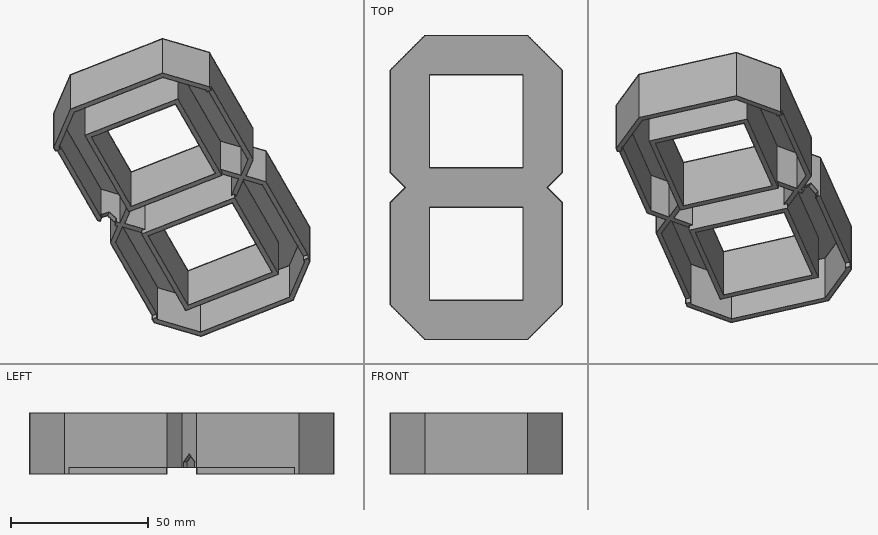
import cadquery as cq
import math


WIDTH = 62.5
LENGTH = 110.5
HEIGHT = 22.2
STROKE = 14.4
CHAMFER = 12.7
WALL = 1.8
DIVIDER_ANGLE = 45
RELIEF_HEIGHT = 2.3
PASSAGE_WIDTH = 5.6
PASSAGE_SIDE_TOP = 4.4

WINDOW_WIDTH = WIDTH - 2 * STROKE
WINDOW_LENGTH = (LENGTH - 3 * STROKE) / 2
WINDOW_CENTRES = [(0, side * (WINDOW_LENGTH + STROKE) / 2) for side in (-1, 1)]
NOTCH = STROKE / 2 - WALL
RELIEF_LENGTH = LENGTH - 2 * STROKE
CAVITY_HEIGHT = HEIGHT - WALL
PASSAGE_PEAK = PASSAGE_SIDE_TOP + PASSAGE_WIDTH / 2


def outline():
    """Chamfered figure-eight outline with a 90 degree notch on each side."""
    half_width = WIDTH / 2
    half_length = LENGTH / 2
    right_side = [
        (half_width - CHAMFER, -half_length),
        (half_width, -half_length + CHAMFER),
        (half_width, -NOTCH),
        (half_width - NOTCH, 0),
        (half_width, NOTCH),
        (half_width, half_length - CHAMFER),
        (half_width - CHAMFER, half_length),
    ]
    left_side = [(-x, -y) for x, y in right_side]
    return cq.Workplane("XY").polyline(right_side + left_side).close()


def window_blocks(margin, height):
    """Two blocks over the windows, larger than them by a margin all round."""
    return (
        cq.Workplane("XY")
        .pushPoints(WINDOW_CENTRES)
        .rect(WINDOW_WIDTH + 2 * margin, WINDOW_LENGTH + 2 * margin)
        .extrude(height)
    )


def dividers():
    """Walls at 45 degrees from each notch tip to the two nearest window corners."""
    reach = STROKE / 2
    length = math.hypot(reach, reach)
    walls = cq.Workplane("XY")
    for side_x in (-1, 1):
        for side_y in (-1, 1):
            wall_centre = (side_x * (WINDOW_WIDTH + reach) / 2, side_y * reach / 2, 0)
            wall = (
                cq.Workplane("XY")
                .rect(length, WALL)
                .extrude(CAVITY_HEIGHT)
                .rotate((0, 0, 0), (0, 0, 1), -side_x * side_y * DIVIDER_ANGLE)
                .translate(wall_centre)
            )
            walls = walls.add(wall)
    return walls.combine()


def cavity():
    """Space between the outer walls and the window frames, split by the dividers."""
    inside = outline().offset2D(-WALL, "intersection").extrude(CAVITY_HEIGHT)
    return inside.cut(window_blocks(WALL, CAVITY_HEIGHT)).cut(dividers())


def side_relief():
    """Shortens the side walls and dividers but leaves the window frames full height."""
    slab = cq.Workplane("XY").rect(WIDTH, RELIEF_LENGTH).extrude(RELIEF_HEIGHT)
    return slab.cut(window_blocks(WALL, RELIEF_HEIGHT))


def cable_passage(side):
    """Pitched-roof passage square through one notch face, in the left (-1) or right (+1) notch."""
    face_centre = (side * (WIDTH - NOTCH) / 2, side * NOTCH / 2, 0)
    half_width = PASSAGE_WIDTH / 2
    profile = [
        (-half_width, 0),
        (half_width, 0),
        (half_width, PASSAGE_SIDE_TOP),
        (0, PASSAGE_PEAK),
        (-half_width, PASSAGE_SIDE_TOP),
    ]
    plane = cq.Plane(origin=face_centre, xDir=(1, 1, 0), normal=(-side, side, 0))
    return cq.Workplane(plane).polyline(profile).close().extrude(WALL)


body = outline().extrude(HEIGHT)
body = body.cut(window_blocks(0, HEIGHT))
body = body.cut(cavity())
body = body.cut(side_relief())
for notch_side in (-1, 1):
    body = body.cut(cable_passage(notch_side))

result = body